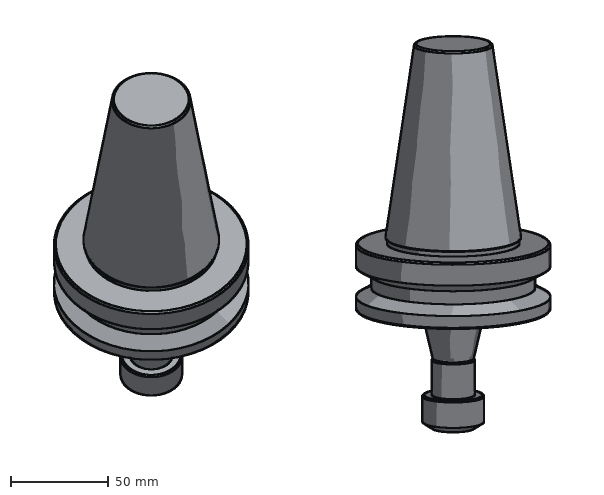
import cadquery as cq
import math

TOTAL_HEIGHT = 201.8

GAUGE_Z = 100.0
GAUGE_RADIUS = 35.0
TAPER_SLOPE = 7 / 48
SHANK_TIP_CHAMFER = 1.0
RELIEF_RADIUS = 34.1
RELIEF_STEP = 0.6

FLANGE_RADIUS = 50.0
FLANGE_TOP_Z = 97.0
FLANGE_BOTTOM_Z = 62.2
FLANGE_TOP_CHAMFER = 1.0
FLANGE_BOTTOM_CHAMFER = 0.8
GROOVE_RADIUS = 42.2
GROOVE_CENTER_Z = 77.0
GROOVE_FLOOR_WIDTH = 6.9
GROOVE_WALL_ANGLE = 30

NOSE_TOP_RADIUS = 16.0
NOSE_TOP_Z = 59.7
NOSE_BOTTOM_Z = 38.7
NOSE_FILLET = 2.5

STEM_RADIUS = 11.0
STEM_TOP_Z = 35.7
STEM_RELIEF_RADIUS = 10.7
STEM_RELIEF_BOTTOM_Z = 36.7
STEM_RELIEF_TOP_Z = 37.3

HEAD_RADIUS = 16.0
HEAD_TOP_Z = 17.5
HEAD_TOP_CHAMFER = 0.8
HEAD_TIP_RADIUS = 10.7
HEAD_TIP_HEIGHT = 3.5

shank_tip_radius = GAUGE_RADIUS - TAPER_SLOPE * (TOTAL_HEIGHT - GAUGE_Z)
shank_edge_radius = shank_tip_radius + TAPER_SLOPE * SHANK_TIP_CHAMFER
groove_floor_half = GROOVE_FLOOR_WIDTH / 2
groove_wall_height = (FLANGE_RADIUS - GROOVE_RADIUS) * math.tan(math.radians(GROOVE_WALL_ANGLE))
groove_mouth_half = groove_floor_half + groove_wall_height

profile = (
    cq.Workplane("XZ")
    .moveTo(0, 0)
    .lineTo(HEAD_TIP_RADIUS, 0)
    .lineTo(HEAD_RADIUS, HEAD_TIP_HEIGHT)
    .lineTo(HEAD_RADIUS, HEAD_TOP_Z - HEAD_TOP_CHAMFER)
    .lineTo(HEAD_RADIUS - HEAD_TOP_CHAMFER, HEAD_TOP_Z)
    .lineTo(STEM_RADIUS, HEAD_TOP_Z)
    .lineTo(STEM_RADIUS, STEM_TOP_Z)
    .lineTo(STEM_RELIEF_RADIUS, STEM_RELIEF_BOTTOM_Z)
    .lineTo(STEM_RELIEF_RADIUS, STEM_RELIEF_TOP_Z)
    .lineTo(STEM_RADIUS, NOSE_BOTTOM_Z)
    .lineTo(NOSE_TOP_RADIUS, NOSE_TOP_Z)
    .radiusArc((NOSE_TOP_RADIUS + NOSE_FILLET, FLANGE_BOTTOM_Z), NOSE_FILLET)
    .lineTo(FLANGE_RADIUS - FLANGE_BOTTOM_CHAMFER, FLANGE_BOTTOM_Z)
    .lineTo(FLANGE_RADIUS, FLANGE_BOTTOM_Z + FLANGE_BOTTOM_CHAMFER)
    .lineTo(FLANGE_RADIUS, GROOVE_CENTER_Z - groove_mouth_half)
    .lineTo(GROOVE_RADIUS, GROOVE_CENTER_Z - groove_floor_half)
    .lineTo(GROOVE_RADIUS, GROOVE_CENTER_Z + groove_floor_half)
    .lineTo(FLANGE_RADIUS, GROOVE_CENTER_Z + groove_mouth_half)
    .lineTo(FLANGE_RADIUS, FLANGE_TOP_Z - FLANGE_TOP_CHAMFER)
    .lineTo(FLANGE_RADIUS - FLANGE_TOP_CHAMFER, FLANGE_TOP_Z)
    .lineTo(RELIEF_RADIUS, FLANGE_TOP_Z)
    .lineTo(RELIEF_RADIUS, GAUGE_Z - RELIEF_STEP)
    .lineTo(GAUGE_RADIUS, GAUGE_Z)
    .lineTo(shank_edge_radius, TOTAL_HEIGHT - SHANK_TIP_CHAMFER)
    .lineTo(shank_edge_radius - SHANK_TIP_CHAMFER, TOTAL_HEIGHT)
    .lineTo(0, TOTAL_HEIGHT)
    .close()
)

result = profile.revolve(360, (0, 0, 0), (0, 1, 0))